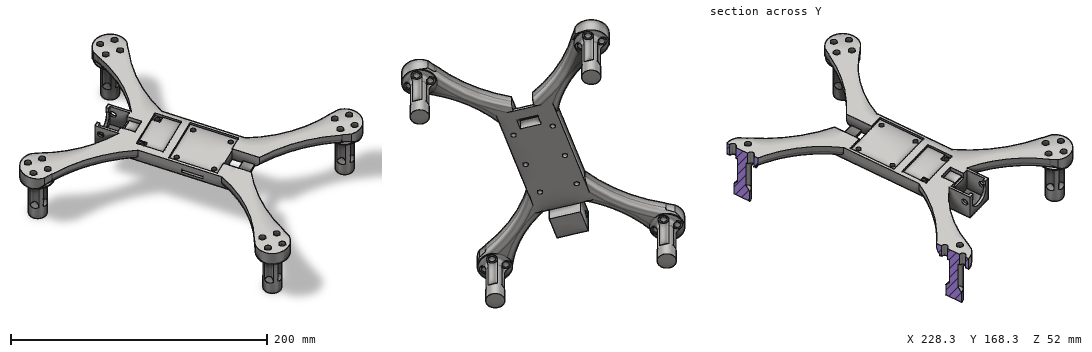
import cadquery as cq
import math

TOP = 52.0
DECK_THICKNESS = 12.0
UNDERSIDE = TOP - DECK_THICKNESS

MOTOR_X = 100.0
MOTOR_Y = 70.0
PAD_RADIUS = 10.0 * math.sqrt(2)
PAD_FLAT_LENGTH = 6.6
PAD_FLAT_END = 12.4
SCREW_CIRCLE_RADIUS = 8.5
SCREW_HOLE_DIAMETER = 5.4

LEG_DIAMETER = 15.0
LEG_FLARE_RADIUS = 6.0
FLUTE_DIAMETER = 8.5
FLUTE_FOOT_HEIGHT = 11.3
FLUTE_SLOPE = 1.3

ARM_ANGLE = 45.0
ARM_LENGTH = 79.0
ARM_WAIST_AT = 43.0
SHALLOW_EDGE = (7.45, 128.0)
DEEP_EDGE = (5.9, 106.0)
ARM_EDGE_FILLET = 6.4
ARM_BLANK_OVERRUN = 16.0

END_SLOT_WIDTH = 17.0
END_SLOT_CENTRE_Y = -0.5
BAR_LEFT = 40.7
BAR_LENGTH = 9.8
BAR_DROP = 9.6

BODY_LEFT = -56.0
BODY_RIGHT = BAR_LEFT + BAR_LENGTH
BODY_HALF_WIDTH = 23.0

BOARD_CENTRE_X = 10.6
BOARD_POCKET_SIZE = 41.4
BOARD_POCKET_DEPTH = 2.0
BOARD_HOLE_SPACING = 32.0
BOARD_HOLE_DIAMETER = 4.1

SMALL_POCKET_LEFT = -39.4
SMALL_POCKET_LENGTH = 22.8
SMALL_POCKET_WIDTH = 35.8
SMALL_POCKET_CENTRE_Y = 1.2
SMALL_POCKET_DEPTH = 2.0
SEAT_LENGTH = 6.6
SEAT_WIDTH = 5.8
SEAT_DEPTH = 3.0
SEAT_HOLE_DIAMETER = 4.1

SIDE_SLOT_CENTRE_X = 11.0
SIDE_SLOT_LENGTH = 18.0
SIDE_SLOT_HEIGHT = 2.5
SIDE_SLOT_DROP = 6.5
SIDE_SLOT_DEPTH = 8.0

CAMERA_LEFT = -76.7
CAMERA_CENTRE_Y = 0.4
CAMERA_WIDTH = 25.6
CAMERA_HEIGHT = 22.6
CAMERA_FRONT_WALL = 2.4
CAMERA_REAR_WALL = 1.7
CAMERA_SIDE_WALL = 1.9
CAMERA_FLOOR = 2.5
LENS_DIAMETER = 18.9
LENS_DROP = 8.4
LENS_MOUTH_WIDTH = 17.0
CAMERA_PIN_DIAMETER = 5.4
CAMERA_PIN_DROP = 8.0
CAMERA_PIN_SETBACK = 5.0

RECESS_RIGHT = -45.2
RECESS_WIDTH = 12.6
RECESS_DEPTH = 3.7
NOTCH_DEPTH = 5.2


def block(left, right, width, bottom, top, centre_y=0.0):
    """Upright box given by its X range, Y width and Z range."""
    return (
        cq.Workplane("XY")
        .box(right - left, width, top - bottom, centered=(False, True, False))
        .translate((left, centre_y, bottom))
    )


def rod(x, y, diameter, bottom, top):
    """Vertical cylinder."""
    return cq.Workplane("XY", origin=(x, y, bottom)).circle(diameter / 2).extrude(top - bottom)


def around_pad(shape):
    """Union of four copies of a shape, a quarter turn apart about the pad axis."""
    copies = shape
    for quarter in (1, 2, 3):
        copies = copies.union(shape.rotate((0, 0, 0), (0, 0, 1), 90 * quarter))
    return copies


def edge_offset(along, waist, radius):
    """Offset of a hollowed arm edge from the arm axis, at a distance inward from the pad centre."""
    return waist + radius - math.sqrt(radius**2 - (along - ARM_WAIST_AT) ** 2)


def arm_blank(left_edge, right_edge):
    """Arm strip between its two arcs, run on past the pad, with rounded lower edges."""
    start = -ARM_BLANK_OVERRUN
    strip = (
        cq.Workplane("XY", origin=(0, 0, UNDERSIDE))
        .moveTo(start, edge_offset(start, *left_edge))
        .threePointArc((ARM_WAIST_AT, left_edge[0]), (ARM_LENGTH, edge_offset(ARM_LENGTH, *left_edge)))
        .lineTo(ARM_LENGTH, -edge_offset(ARM_LENGTH, *right_edge))
        .threePointArc((ARM_WAIST_AT, -right_edge[0]), (start, -edge_offset(start, *right_edge)))
        .close()
        .extrude(DECK_THICKNESS)
    )
    return strip.edges("<Z").edges("%CIRCLE").fillet(ARM_EDGE_FILLET)


def arm_outline():
    """Prism that ends the arm in a half-round pad with short flats behind it."""
    return (
        cq.Workplane("XY", origin=(0, 0, UNDERSIDE))
        .moveTo(0, -PAD_RADIUS)
        .threePointArc((-PAD_RADIUS, 0), (0, PAD_RADIUS))
        .lineTo(PAD_FLAT_LENGTH, PAD_FLAT_END)
        .lineTo(ARM_LENGTH, PAD_RADIUS)
        .lineTo(ARM_LENGTH, -PAD_RADIUS)
        .lineTo(PAD_FLAT_LENGTH, -PAD_FLAT_END)
        .close()
        .extrude(DECK_THICKNESS)
    )


def flutes():
    """Four driver channels beside the leg, each ending in a flat slope that drops outward."""
    face = LEG_DIAMETER / 2
    channel = rod(SCREW_CIRCLE_RADIUS, 0, FLUTE_DIAMETER, FLUTE_FOOT_HEIGHT, UNDERSIDE)
    slope = (
        cq.Workplane("XZ", origin=(0, FLUTE_DIAMETER / 2, 0))
        .moveTo(0, FLUTE_FOOT_HEIGHT)
        .lineTo(face, FLUTE_FOOT_HEIGHT)
        .lineTo(0, FLUTE_FOOT_HEIGHT + FLUTE_SLOPE * face)
        .close()
        .extrude(FLUTE_DIAMETER)
    )
    flute = channel.cut(slope)
    return around_pad(flute)


def leg():
    """Round leg that flares into the underside of the pad."""
    radius = LEG_DIAMETER / 2
    middle = LEG_FLARE_RADIUS * (1 - math.sqrt(0.5))
    shaft = (
        cq.Workplane("XZ")
        .lineTo(radius, 0)
        .lineTo(radius, UNDERSIDE - LEG_FLARE_RADIUS)
        .threePointArc((radius + middle, UNDERSIDE - middle), (radius + LEG_FLARE_RADIUS, UNDERSIDE))
        .lineTo(radius + LEG_FLARE_RADIUS, UNDERSIDE + 1)
        .lineTo(0, UNDERSIDE + 1)
        .close()
        .revolve(360, (0, 0, 0), (0, 1, 0))
    )
    return shaft.cut(flutes())


def motor_arm(inner_edge, outer_edge):
    """Arm, pad and leg with the pad at (MOTOR_X, MOTOR_Y)."""
    strip = arm_blank(inner_edge, outer_edge).intersect(arm_outline())
    screw_holes = around_pad(rod(SCREW_CIRCLE_RADIUS, 0, SCREW_HOLE_DIAMETER, UNDERSIDE, TOP))
    arm = strip.rotate((0, 0, 0), (0, 0, 1), 180 + ARM_ANGLE).union(leg()).cut(screw_holes)
    return arm.translate((MOTOR_X, MOTOR_Y, 0))


def camera_box():
    return block(CAMERA_LEFT, BODY_LEFT, CAMERA_WIDTH, TOP - CAMERA_HEIGHT, TOP, CAMERA_CENTRE_Y)


def camera_openings():
    """Box cavity, lens mouth, side pin hole, cable recess and the notch between."""
    inner_left = CAMERA_LEFT + CAMERA_FRONT_WALL
    inner_right = BODY_LEFT - CAMERA_REAR_WALL
    floor = TOP - CAMERA_HEIGHT + CAMERA_FLOOR
    cavity_width = CAMERA_WIDTH - 2 * CAMERA_SIDE_WALL
    cavity = block(inner_left, inner_right, cavity_width, floor, TOP, CAMERA_CENTRE_Y)
    lens = (
        cq.Workplane("YZ", origin=(CAMERA_LEFT, CAMERA_CENTRE_Y, TOP - LENS_DROP))
        .circle(LENS_DIAMETER / 2)
        .extrude(CAMERA_FRONT_WALL)
    )
    mouth = block(CAMERA_LEFT, inner_left, LENS_MOUTH_WIDTH, TOP - LENS_DROP, TOP, CAMERA_CENTRE_Y)
    pin_hole = (
        cq.Workplane("XZ", origin=(CAMERA_LEFT + CAMERA_PIN_SETBACK, CAMERA_WIDTH, TOP - CAMERA_PIN_DROP))
        .circle(CAMERA_PIN_DIAMETER / 2)
        .extrude(2 * CAMERA_WIDTH)
    )
    recess = block(BODY_LEFT, RECESS_RIGHT, RECESS_WIDTH, TOP - RECESS_DEPTH, TOP, CAMERA_CENTRE_Y)
    notch = block(inner_right, BODY_LEFT, RECESS_WIDTH, TOP - NOTCH_DEPTH, TOP, CAMERA_CENTRE_Y)
    return cavity.union(lens).union(mouth).union(pin_hole).union(recess).union(notch)


def board_pocket():
    half = BOARD_POCKET_SIZE / 2
    cutter = block(
        BOARD_CENTRE_X - half, BOARD_CENTRE_X + half, BOARD_POCKET_SIZE, TOP - BOARD_POCKET_DEPTH, TOP
    )
    for side_x in (-1, 1):
        for side_y in (-1, 1):
            x = BOARD_CENTRE_X + side_x * BOARD_HOLE_SPACING / 2
            y = side_y * BOARD_HOLE_SPACING / 2
            cutter = cutter.union(rod(x, y, BOARD_HOLE_DIAMETER, UNDERSIDE, TOP))
    return cutter


def small_pocket():
    right = SMALL_POCKET_LEFT + SMALL_POCKET_LENGTH
    floor = TOP - SMALL_POCKET_DEPTH
    cutter = block(SMALL_POCKET_LEFT, right, SMALL_POCKET_WIDTH, floor, TOP, SMALL_POCKET_CENTRE_Y)
    seat_right = SMALL_POCKET_LEFT + SEAT_LENGTH
    hole_x = SMALL_POCKET_LEFT + SEAT_LENGTH / 2
    for side in (-1, 1):
        y = SMALL_POCKET_CENTRE_Y + side * (SMALL_POCKET_WIDTH - SEAT_WIDTH) / 2
        cutter = cutter.union(block(SMALL_POCKET_LEFT, seat_right, SEAT_WIDTH, TOP - SEAT_DEPTH, TOP, y))
        cutter = cutter.union(rod(hole_x, y, SEAT_HOLE_DIAMETER, UNDERSIDE, TOP))
    return cutter


def end_slot():
    """Slot open at the right end and to the board pocket, less the bar that bridges it."""
    left = BOARD_CENTRE_X + BOARD_POCKET_SIZE / 2
    slot = block(left, MOTOR_X, END_SLOT_WIDTH, UNDERSIDE, TOP, END_SLOT_CENTRE_Y)
    bar_right = BAR_LEFT + BAR_LENGTH
    bar = block(BAR_LEFT, bar_right, END_SLOT_WIDTH, UNDERSIDE, TOP - BAR_DROP, END_SLOT_CENTRE_Y)
    return slot.cut(bar)


def side_slot():
    left = SIDE_SLOT_CENTRE_X - SIDE_SLOT_LENGTH / 2
    top = TOP - SIDE_SLOT_DROP
    centre_y = SIDE_SLOT_DEPTH / 2 - BODY_HALF_WIDTH
    return block(left, left + SIDE_SLOT_LENGTH, SIDE_SLOT_DEPTH, top - SIDE_SLOT_HEIGHT, top, centre_y)


def frame():
    body = block(BODY_LEFT, BODY_RIGHT, 2 * BODY_HALF_WIDTH, UNDERSIDE, TOP)
    right_rear = motor_arm(SHALLOW_EDGE, DEEP_EDGE)
    left_rear = motor_arm(DEEP_EDGE, SHALLOW_EDGE).mirror("YZ")
    for arm in (right_rear, left_rear):
        body = body.union(arm).union(arm.mirror("XZ"))
    body = body.union(camera_box())
    for cutter in (camera_openings(), board_pocket(), small_pocket(), end_slot(), side_slot()):
        body = body.cut(cutter)
    return body


result = frame()